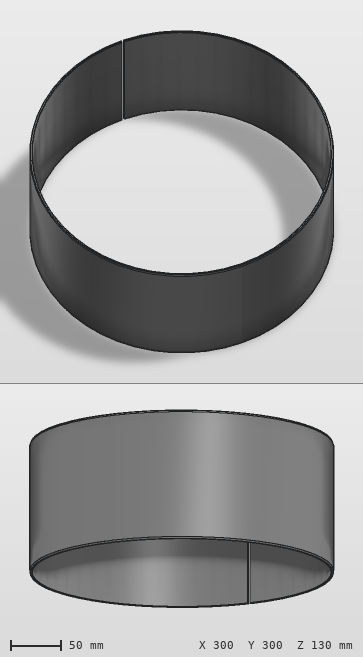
import cadquery as cq
import math


outer_diameter = 300.0
height = 130.0
wall = 2.5
outer_bevel_height = 1.8
outer_bevel_angle = 20.0
inner_bevel_height = 0.6
inner_bevel_angle = 30.0
gap_angle = 1.0

outer_radius = outer_diameter / 2
inner_radius = outer_radius - wall
half_height = height / 2
outer_bevel_depth = outer_bevel_height * math.tan(math.radians(outer_bevel_angle))
inner_bevel_depth = inner_bevel_height * math.tan(math.radians(inner_bevel_angle))

axis_start = (0, 0, 0)
axis_end = (0, 1, 0)


def make_ring():
    """Full ring whose rims are bevelled steeply outside and slightly inside."""
    rim_outer_radius = outer_radius - outer_bevel_depth
    rim_inner_radius = inner_radius + inner_bevel_depth
    outer_bevel_start = half_height - outer_bevel_height
    inner_bevel_start = half_height - inner_bevel_height
    profile = (
        cq.Workplane("XZ")
        .moveTo(rim_inner_radius, -half_height)
        .lineTo(rim_outer_radius, -half_height)
        .lineTo(outer_radius, -outer_bevel_start)
        .lineTo(outer_radius, outer_bevel_start)
        .lineTo(rim_outer_radius, half_height)
        .lineTo(rim_inner_radius, half_height)
        .lineTo(inner_radius, inner_bevel_start)
        .lineTo(inner_radius, -inner_bevel_start)
        .close()
    )
    return profile.revolve(360, axis_start, axis_end)


def make_gap():
    """Narrow sector through the -X wall, from the XZ plane toward +Y, with radial sides."""
    clearance = wall
    sector = (
        cq.Workplane("XZ")
        .moveTo(-(inner_radius + outer_radius) / 2, 0)
        .rect(wall + 2 * clearance, height + 2 * clearance)
        .revolve(gap_angle, axis_start, axis_end)
    )
    return sector.rotate((0, 0, 0), (0, 0, 1), -gap_angle)


result = make_ring().cut(make_gap())